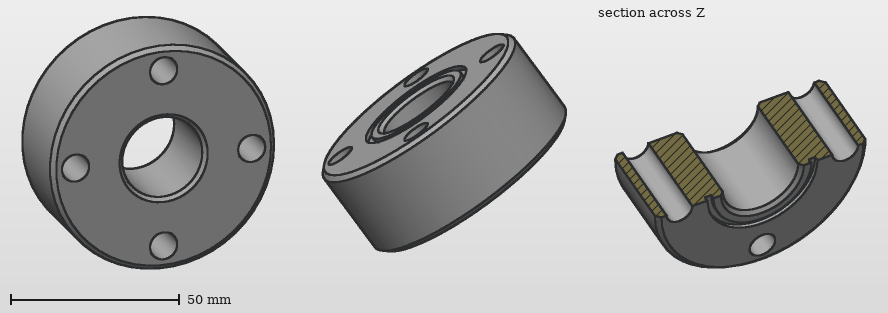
import cadquery as cq

outer_diameter = 70.0
width = 29.0
rim_chamfer = 1.5

bore_diameter = 25.0
bore_chamfer = 1.25

groove_inner_diameter = 32.5
groove_outer_diameter = 36.5
groove_depth = 1.5

hole_count = 4
hole_diameter = 8.5
bolt_circle_diameter = 55.0

front_x = -width / 2


def face_plane():
    """Sketch plane on the -X face, with its normal pointing into the body."""
    return cq.Workplane("YZ", origin=(front_x, 0, 0))


def ring_body():
    disc = face_plane().circle(outer_diameter / 2).extrude(width)
    disc = disc.edges().chamfer(rim_chamfer)
    bore = face_plane().circle(bore_diameter / 2).extrude(width)
    ring = disc.cut(bore)
    bore_edges = cq.selectors.RadiusNthSelector(0)
    return ring.edges(bore_edges).chamfer(bore_chamfer)


def face_groove():
    outline = face_plane().circle(groove_outer_diameter / 2).circle(groove_inner_diameter / 2)
    return outline.extrude(groove_depth)


def bolt_holes():
    centers = face_plane().polarArray(bolt_circle_diameter / 2, 0, 360, hole_count)
    return centers.circle(hole_diameter / 2).extrude(width)


result = ring_body().cut(face_groove()).cut(bolt_holes())